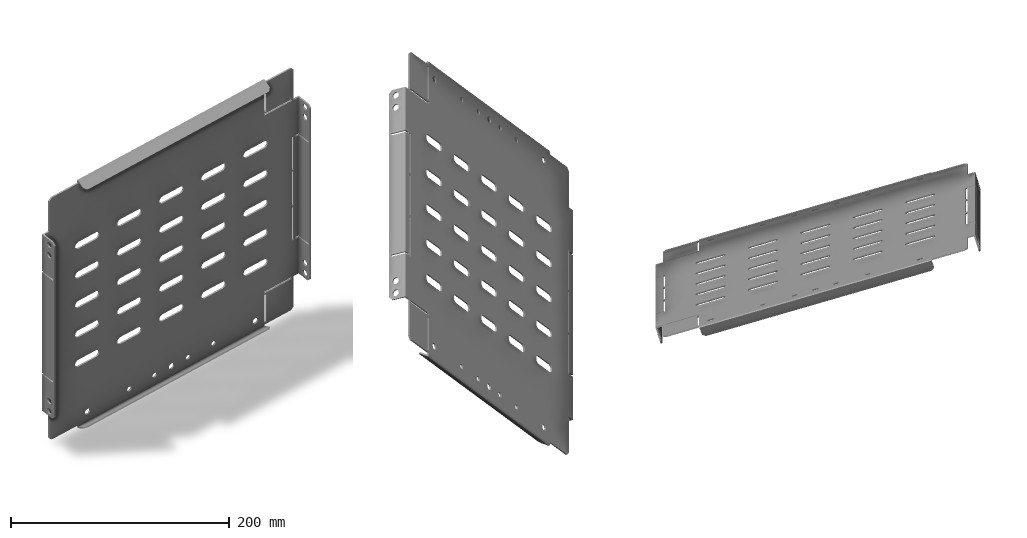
import cadquery as cq
import math

width = 305.5
height = 298.8
sheet = 1.5

corner_reach = 145.5
corner_cut = 3.0

side_flange_depth = 17.5
side_flange_half = 106.0

lip_half = 111.0
lip_reach = 11.5
lip_slope = 30.0

fixing_diameter = 6.5
pilot_diameter = 5.2
hole_row_z = 135.0
fixing_y = (-100.0, 0.0, 100.0)
pilot_y = (-50.0, -20.0, 20.0, 50.0)
flange_hole_x = 10.5
flange_hole_z = (87.7, 100.0)
slot_length = 28.7
slot_height = 8.2
slot_columns = 5
slot_rows = 5
slot_pitch_y = 50.0
slot_pitch_z = 35.5

slit = 2.0
bridge = 2.0
knockout_half = 62.3
knockout_bridge_z = 21.5


def box(x_range, y_range, z_range):
    """Box between pairs of limits along X, Y and Z."""
    (x0, x1), (y0, y1), (z0, z1) = x_range, y_range, z_range
    return cq.Workplane("XY").box(x1 - x0, y1 - y0, z1 - z0, centered=False).translate((x0, y0, z0))


def mirrored(shape, plane):
    """The shape together with its mirror image."""
    return shape.union(shape.mirror(plane))


def through_sheet(y_range, z_range):
    """Cutter passing through the plate thickness."""
    return box((-sheet, 2 * sheet), y_range, z_range)


def plate():
    """Flat sheet: bevelled corner tabs and the webs that reach the side flanges."""
    tabs = (
        cq.Workplane("YZ")
        .rect(2 * corner_reach, 2 * corner_reach)
        .extrude(sheet)
        .edges("|X")
        .chamfer(corner_cut)
    )
    web = cq.Workplane("YZ").rect(width, 2 * side_flange_half).extrude(sheet)
    return tabs.union(web)


def side_flange():
    """Flange on the +Y side with bevelled free corners and two pairs of holes."""
    flange = box(
        (0, side_flange_depth),
        (width / 2 - sheet, width / 2),
        (-side_flange_half, side_flange_half),
    )
    flange = flange.edges("|Y and >X").chamfer(corner_cut)
    centers = [(flange_hole_x, sign * z) for sign in (-1, 1) for z in flange_hole_z]
    holes = (
        cq.Workplane("XZ", origin=(0, width, 0))
        .pushPoints(centers)
        .circle(fixing_diameter / 2)
        .extrude(width)
    )
    return flange.cut(holes)


def lip():
    """Folded flange along the +Z edge, with the strip of plate leading into it."""
    slope_cos = math.cos(math.radians(lip_slope))
    slope_sin = math.sin(math.radians(lip_slope))
    bevel_x = sheet * slope_sin
    bevel_z = sheet * slope_cos
    top = height / 2
    lip_drop = (lip_reach - bevel_x) * slope_sin / slope_cos
    crease_drop = sheet * slope_sin / slope_cos
    strip_base = corner_reach - 2 * corner_cut
    profile = (
        cq.Workplane("XZ", origin=(0, lip_half, 0))
        .moveTo(0, strip_base)
        .lineTo(0, top - bevel_z)
        .lineTo(bevel_x, top)
        .lineTo(lip_reach, top - lip_drop)
        .lineTo(lip_reach - bevel_x, top - lip_drop - bevel_z)
        .lineTo(sheet, top - bevel_z - crease_drop)
        .lineTo(sheet, strip_base)
        .close()
        .extrude(2 * lip_half)
    )
    return profile.faces(">X").edges("not |Y").chamfer(corner_cut)


def round_holes(y_positions, diameter):
    """Holes of one size at the given Y positions of both hole rows."""
    centers = [(y, sign * hole_row_z) for sign in (-1, 1) for y in y_positions]
    return cq.Workplane("YZ").pushPoints(centers).circle(diameter / 2).extrude(sheet)


def plate_holes():
    """Two rows of round holes near the top and bottom edges."""
    return round_holes(fixing_y, fixing_diameter).union(round_holes(pilot_y, pilot_diameter))


def ventilation_slots():
    """Grid of rounded slots running along Y."""
    return (
        cq.Workplane("YZ")
        .rarray(slot_pitch_y, slot_pitch_z, slot_columns, slot_rows)
        .slot2D(slot_length, slot_height)
        .extrude(sheet)
    )


def corner_slits():
    """Slits that frame the break-off tab in the +Y, +Z corner."""
    outer_end = corner_reach - bridge
    slit_top = side_flange_half + slit
    along_y = through_sheet((lip_half, outer_end), (side_flange_half, slit_top))
    along_z = through_sheet((lip_half, lip_half + slit), (slit_top + bridge, outer_end))
    return along_y.union(along_z)


def side_knockout():
    """Slits that frame the knock-out in the +Y flange and the web behind it."""
    bend_slit = (corner_reach - slit, corner_reach)
    half_bridge = bridge / 2
    middle = through_sheet(bend_slit, (-knockout_bridge_z + half_bridge, knockout_bridge_z - half_bridge))
    end = through_sheet(bend_slit, (knockout_bridge_z + half_bridge, knockout_half))
    across = box(
        (-sheet, side_flange_depth - bridge),
        (corner_reach + bridge, width / 2 + sheet),
        (knockout_half - slit, knockout_half),
    )
    return middle.union(mirrored(end.union(across), "XY"))


result = plate().union(mirrored(side_flange(), "XZ")).union(mirrored(lip(), "XY"))
result = result.cut(plate_holes()).cut(ventilation_slots())
result = result.cut(mirrored(corner_slits(), "XY"))
result = result.cut(mirrored(side_knockout(), "XZ"))